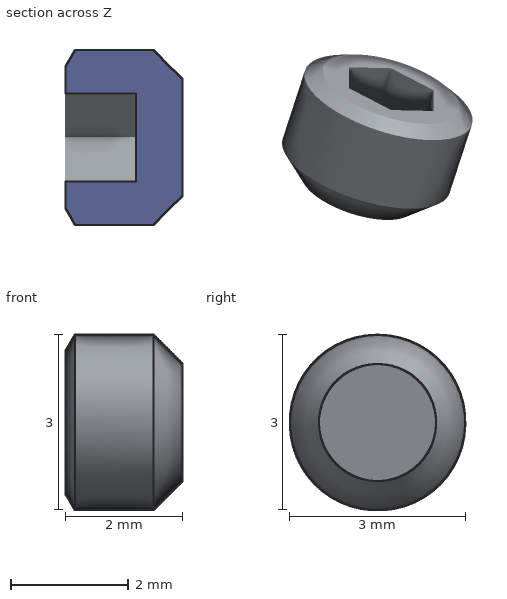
import cadquery as cq
import math

length = 2.0
body_diameter = 3.0
socket_end_diameter = 2.44
socket_chamfer_angle = 30.0
point_diameter = 2.0
point_chamfer_angle = 45.0
hex_sides = 6
hex_across_flats = 1.5
hex_depth = 1.2


def chamfer_length(end_diameter, angle):
    """Axial length of the cone between an end face and the body."""
    return (body_diameter - end_diameter) / 2 * math.tan(math.radians(angle))


def make_body():
    """Revolve the half profile of the screw about the X axis."""
    body_radius = body_diameter / 2
    body_start = chamfer_length(socket_end_diameter, socket_chamfer_angle)
    body_end = length - chamfer_length(point_diameter, point_chamfer_angle)
    return (
        cq.Workplane("XZ")
        .moveTo(0, 0)
        .lineTo(0, socket_end_diameter / 2)
        .lineTo(body_start, body_radius)
        .lineTo(body_end, body_radius)
        .lineTo(length, point_diameter / 2)
        .lineTo(length, 0)
        .close()
        .revolve(360, (0, 0, 0), (1, 0, 0))
    )


def make_hex_socket():
    """Blind hexagonal prism with two corners on the Z axis."""
    across_corners = hex_across_flats / math.cos(math.pi / hex_sides)
    socket_plane = cq.Plane(origin=(0, 0, 0), xDir=(0, 0, 1), normal=(1, 0, 0))
    return cq.Workplane(socket_plane).polygon(hex_sides, across_corners).extrude(hex_depth)


result = make_body().cut(make_hex_socket())